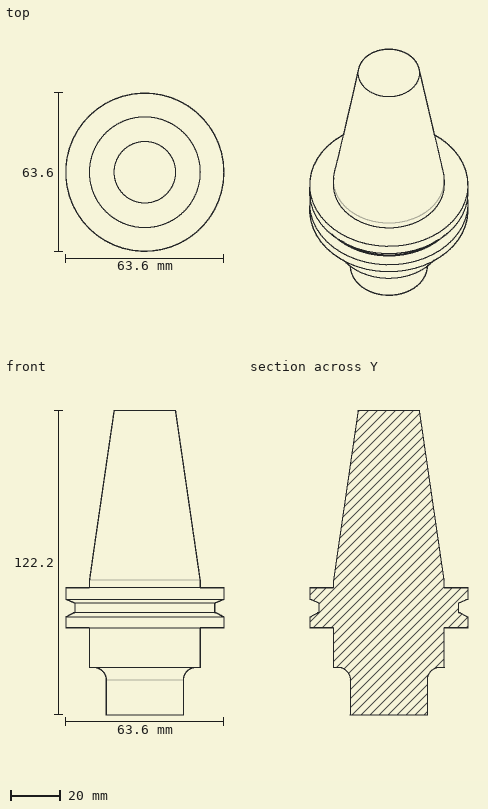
import cadquery as cq

total_height = 122.2
nose_height = 14.0
collar_bottom = 19.1
flange_bottom = 35.0
flange_top = 51.1
taper_bottom = 54.2

groove_floor_bottom = 41.1
groove_floor_top = 44.9
lower_rim_top = 39.4
upper_rim_bottom = 46.5

nose_radius = 15.5
collar_radius = 22.2
flange_radius = 31.8
groove_radius = 28.1
groove_ledge_width = 0.5
taper_tip_radius = 12.3

fillet_radius = collar_bottom - nose_height
fillet_outer_radius = nose_radius + fillet_radius
diagonal = 0.5 ** 0.5
fillet_middle = (
    fillet_outer_radius - fillet_radius * diagonal,
    nose_height + fillet_radius * diagonal,
)

half_section = (
    cq.Workplane("XZ")
    .moveTo(0, 0)
    .lineTo(nose_radius, 0)
    .lineTo(nose_radius, nose_height)
    .threePointArc(fillet_middle, (fillet_outer_radius, collar_bottom))
    .lineTo(collar_radius, collar_bottom)
    .lineTo(collar_radius, flange_bottom)
    .lineTo(flange_radius, flange_bottom)
    .lineTo(flange_radius, lower_rim_top)
    .lineTo(groove_radius + groove_ledge_width, groove_floor_bottom)
    .lineTo(groove_radius, groove_floor_bottom)
    .lineTo(groove_radius, groove_floor_top)
    .lineTo(flange_radius, upper_rim_bottom)
    .lineTo(flange_radius, flange_top)
    .lineTo(collar_radius, flange_top)
    .lineTo(collar_radius, taper_bottom)
    .lineTo(taper_tip_radius, total_height)
    .lineTo(0, total_height)
    .close()
)

result = half_section.revolve(360, (0, 0, 0), (0, 1, 0))